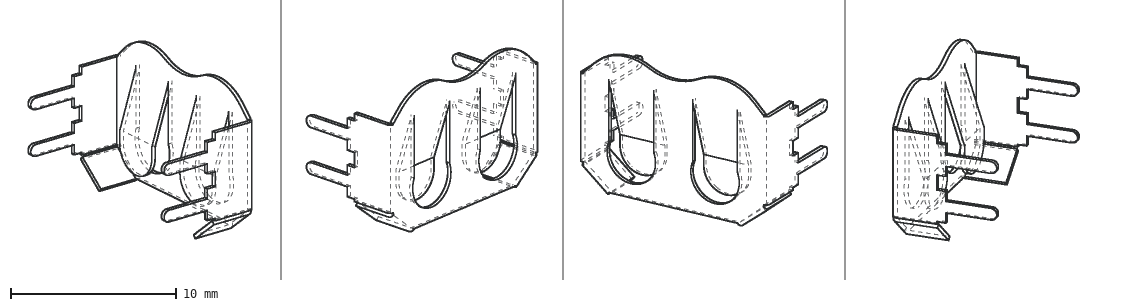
import cadquery as cq
import math


overall_width = 13.46
sheet = 0.27
flange_depth = 2.95
fold_x = overall_width / 2 - sheet

lower_edge_half = 4.59
corner_angle = math.radians(39.5)
lower_corner_z = (fold_x - lower_edge_half) * math.tan(corner_angle)
corner_flange_length = 2.38
upper_corner_z = 7.46
hump_x = 3.32
hump_radius = 3.39
hump_top_z = 9.18
valley_radius = 3.89

side_bottom_z = 1.62
side_top_z = 7.39
shoulder_reach = 3.54
shoulder_width = 2.07
pin_reach = 6.86
pin_width = 0.77
pin_pitch = 3.05
lower_pin_z = 2.81

tab_x = 2.99
tab_width = 3.19
tab_top_z = side_top_z
tab_round_z = 2.67
tab_clearance = 0.13
tab_offset = 1.25
tab_angle = math.radians(18)
tab_bend_radius = 0.73


def mirrored(solid):
    """The solid joined with its mirror image on the other side of X = 0."""
    return solid.union(solid.mirror("YZ"))


def on_circle(center, radius, angle):
    """Point on a circle; the angle is in radians from the first axis."""
    return (center[0] + radius * math.cos(angle), center[1] + radius * math.sin(angle))


def back_plate():
    hump_center = (hump_x, hump_top_z - hump_radius)
    valley_angle = math.acos(hump_x / (hump_radius + valley_radius))
    valley_center_z = hump_center[1] + (hump_radius + valley_radius) * math.sin(valley_angle)
    inner = on_circle(hump_center, hump_radius, math.pi - valley_angle)

    run = fold_x - hump_center[0]
    rise = upper_corner_z - hump_center[1]
    tangent_angle = math.atan2(rise, run) + math.acos(hump_radius / math.hypot(run, rise))
    outer = on_circle(hump_center, hump_radius, tangent_angle)

    outline = (
        cq.Workplane("XZ")
        .moveTo(-lower_edge_half, 0)
        .lineTo(lower_edge_half, 0)
        .lineTo(fold_x, lower_corner_z)
        .lineTo(fold_x, upper_corner_z)
        .lineTo(*outer)
        .threePointArc((hump_x, hump_top_z), inner)
        .threePointArc((0, valley_center_z - valley_radius), (-inner[0], inner[1]))
        .threePointArc((-hump_x, hump_top_z), (-outer[0], outer[1]))
        .lineTo(-fold_x, upper_corner_z)
        .lineTo(-fold_x, lower_corner_z)
        .close()
    )
    return outline.extrude(sheet)


def folded_flange(length):
    """Flange running up from Z = 0, folded toward -Y off the +X side of a plate."""
    fold_middle = on_circle((0, -sheet), sheet, math.pi / 4)
    return (
        cq.Workplane("XY")
        .moveTo(0, 0)
        .threePointArc(fold_middle, (sheet, -sheet))
        .lineTo(sheet, -flange_depth)
        .lineTo(0, -flange_depth)
        .close()
        .extrude(length)
    )


def solder_pin(pin_z):
    """Shouldered pin with a full-round tip, in the plane of the side flange."""
    pin_radius = pin_width / 2
    tip_start = pin_reach - pin_radius
    shoulder = (
        cq.Workplane("YZ", origin=(fold_x, 0, pin_z))
        .moveTo(-(flange_depth + shoulder_reach) / 2, 0)
        .rect(shoulder_reach - flange_depth, shoulder_width)
        .extrude(sheet)
    )
    pin = (
        cq.Workplane("YZ", origin=(fold_x, 0, pin_z))
        .moveTo(-shoulder_reach, -pin_radius)
        .lineTo(-tip_start, -pin_radius)
        .threePointArc((-pin_reach, 0), (-tip_start, pin_radius))
        .lineTo(-shoulder_reach, pin_radius)
        .close()
        .extrude(sheet)
    )
    return shoulder.union(pin)


def side_flange():
    flange = folded_flange(side_top_z - side_bottom_z).translate((fold_x, 0, side_bottom_z))
    for pin_z in (lower_pin_z, lower_pin_z + pin_pitch):
        flange = flange.union(solder_pin(pin_z))
    return flange


def corner_flange():
    """Flange folded off the slanted lower corner."""
    lean = 90 - math.degrees(corner_angle)
    flange = folded_flange(corner_flange_length)
    return flange.rotate((0, 0, 0), (0, 1, 0), lean).translate((lower_edge_half, 0, 0))


def round_ended_outline(radius):
    """Upright strip of the tab width, ending below in a circle of the given radius."""
    plane = cq.Workplane("XZ", origin=(tab_x, 0, 0))
    strip_height = tab_top_z - tab_round_z
    depth = tab_offset + sheet
    strip = plane.center(0, tab_round_z + strip_height / 2).rect(tab_width, strip_height).extrude(depth)
    round_end = plane.center(0, tab_round_z).circle(radius).extrude(depth)
    return strip.union(round_end)


def tab_window():
    return round_ended_outline(tab_width / 2 + tab_clearance)


def spring_tab():
    """Tab bent forward out of its window, then bent back parallel to the plate."""
    outer_bend_radius = tab_bend_radius + sheet
    upper_center = (-sheet - tab_bend_radius, tab_top_z)
    front_upper = on_circle(upper_center, tab_bend_radius, -tab_angle)
    front_upper_middle = on_circle(upper_center, tab_bend_radius, -tab_angle / 2)
    back_upper = on_circle(upper_center, outer_bend_radius, -tab_angle)
    back_upper_middle = on_circle(upper_center, outer_bend_radius, -tab_angle / 2)

    slope_drop = (tab_offset + back_upper[0]) / math.tan(tab_angle)
    lower_bend = (-tab_offset, back_upper[1] - slope_drop)
    front_lower = on_circle(lower_bend, sheet, math.pi - tab_angle)
    front_lower_middle = on_circle(lower_bend, sheet, math.pi - tab_angle / 2)
    tip_z = tab_round_z - tab_width / 2

    strip = (
        cq.Workplane("YZ", origin=(tab_x, 0, 0))
        .moveTo(0, tab_top_z)
        .threePointArc(back_upper_middle, back_upper)
        .lineTo(*lower_bend)
        .lineTo(-tab_offset, tip_z)
        .lineTo(-tab_offset - sheet, tip_z)
        .lineTo(-tab_offset - sheet, lower_bend[1])
        .threePointArc(front_lower_middle, front_lower)
        .lineTo(*front_upper)
        .threePointArc(front_upper_middle, (-sheet, tab_top_z))
        .close()
        .extrude(tab_width / 2, both=True)
    )
    return strip.intersect(round_ended_outline(tab_width / 2))


result = (
    back_plate()
    .cut(mirrored(tab_window()))
    .union(mirrored(spring_tab()))
    .union(mirrored(side_flange()))
    .union(mirrored(corner_flange()))
)